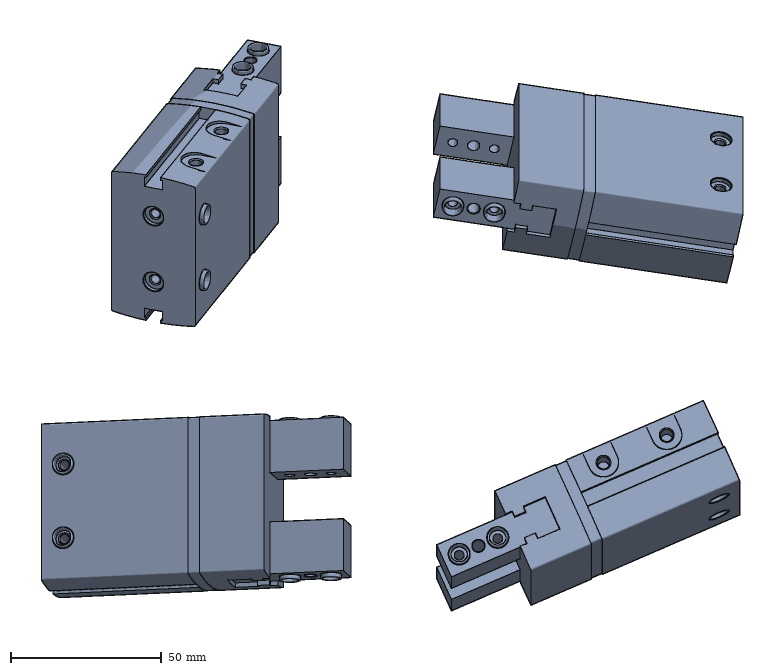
import cadquery as cq
import math


width = 30.0
height = 55.5
crown_radius = 90.9
edge_radius = 0.7
housing_length = 76.0
waist_start = 50.0
waist_end = 53.9
waist_inset = 0.3
waist_crown_inset = 0.1

total_length = 101.0
jaw_width = 12.0
jaw_neck_width = 8.0
jaw_neck_length = 4.0
jaw_foot_length = 8.0
jaw_shoulder_length = 2.4
jaw_outer_z = 26.1
jaw_inner_z = 8.4
jaw_foot_y = housing_length - jaw_shoulder_length - jaw_neck_length - jaw_foot_length
jaw_dowel_diameter = 4.0
jaw_dowel_from_tip = 12.5
jaw_screw_spacing = 14.0
jaw_dowel_y = total_length - jaw_dowel_from_tip
jaw_screw_ys = [jaw_dowel_y - jaw_screw_spacing / 2, jaw_dowel_y + jaw_screw_spacing / 2]

sleeve_diameter = 7.0
sleeve_bore = 5.6
sleeve_protrusion = 1.3
sleeve_seat_depth = 1.6
rim_chamfer = 0.2
screw_diameter = 3.2
thread_diameter = 4.0
thread_chamfer = (thread_diameter - screw_diameter) / 2

mount_z = 12.5
side_mount_y = 7.5

slot_opening = 5.3
slot_width = 6.5
slot_depth = 4.5
slot_lip = 1.1

port_x = 9.0
port_ys = [16.0, 39.0]
port_flat_radius = 5.0
port_flat_z = 26.7
port_diameter = 4.1
port_chamfer = 0.4
port_depth = 8.1


def crowned_block(block_width, block_height, start_y, end_y):
    """Block between two Y positions with flat sides and crowned top and bottom faces."""
    half_width = block_width / 2
    crown_z = block_height / 2
    crown_drop = crown_radius - math.sqrt(crown_radius**2 - half_width**2)
    half_side = crown_z - crown_drop
    return (
        cq.Workplane("XZ", origin=(0, start_y, 0))
        .moveTo(-half_width, -half_side)
        .lineTo(-half_width, half_side)
        .threePointArc((0, crown_z), (half_width, half_side))
        .lineTo(half_width, -half_side)
        .threePointArc((0, -crown_z), (-half_width, -half_side))
        .close()
        .extrude(start_y - end_y)
        .edges("|Y")
        .fillet(edge_radius)
    )


def cylinder(diameter, length, start, direction):
    """Cylinder that runs from the start point along the direction."""
    return cq.Workplane(cq.Solid.makeCylinder(diameter / 2, length, cq.Vector(start), cq.Vector(direction)))


def countersink(diameter, chamfer, start, direction):
    """Cone that breaks the rim of a hole of the given diameter."""
    radius = diameter / 2
    cone = cq.Solid.makeCone(radius + chamfer, radius, chamfer, cq.Vector(start), cq.Vector(direction))
    return cq.Workplane(cone)


def along(start, direction, distance):
    """Point at a distance from the start point along an axis direction."""
    return tuple(s + d * distance for s, d in zip(start, direction))


def sleeve_seat(start, direction):
    """Shallow counterbore for a sleeve, with a broken rim."""
    counterbore = cylinder(sleeve_diameter, sleeve_seat_depth, start, direction)
    return counterbore.union(countersink(sleeve_diameter, rim_chamfer, start, direction))


def threaded_mount(start, direction, depth):
    """Sleeve seat with a chamfered screw hole behind it."""
    seat_floor = along(start, direction, sleeve_seat_depth)
    return (
        sleeve_seat(start, direction)
        .union(cylinder(screw_diameter, depth, start, direction))
        .union(countersink(screw_diameter, thread_chamfer, seat_floor, direction))
    )


def sensor_slot():
    """T-slot in the top face, from the rear face to the waist."""
    top_z = height / 2
    opening = cq.Workplane("XY").box(slot_opening, waist_start, slot_depth, centered=(True, False, False))
    wide_height = slot_depth - slot_lip
    wide_part = cq.Workplane("XY").box(slot_width, waist_start, wide_height, centered=(True, False, False))
    return opening.union(wide_part).translate((0, 0, top_z - slot_depth))


def air_port(y):
    """Round-ended flat open toward +X, with a chamfered blind hole."""
    cut_height = height / 2 - port_flat_z
    flat = (
        cq.Workplane("XY", origin=(port_x, y, port_flat_z))
        .moveTo(width / 2 - port_x, -port_flat_radius)
        .lineTo(0, -port_flat_radius)
        .threePointArc((-port_flat_radius, 0), (0, port_flat_radius))
        .lineTo(width / 2 - port_x, port_flat_radius)
        .close()
        .extrude(cut_height)
    )
    floor_point = (port_x, y, port_flat_z)
    down = (0, 0, -1)
    return (
        flat.union(cylinder(port_diameter, port_depth, floor_point, down))
        .union(countersink(port_diameter, port_chamfer, floor_point, down))
    )


def jaw_plan(bottom_z, top_z):
    """Jaw outline in plan, with the notched neck that keys into the housing, as a block in Z."""
    half = jaw_width / 2
    neck_half = jaw_neck_width / 2
    neck_start = jaw_foot_y + jaw_foot_length
    neck_end = neck_start + jaw_neck_length
    right_side = [
        (half, jaw_foot_y),
        (half, neck_start),
        (neck_half, neck_start),
        (neck_half, neck_end),
        (half, neck_end),
        (half, total_length),
    ]
    left_side = [(-x, y) for x, y in reversed(right_side)]
    outline = cq.Workplane("XY", origin=(0, 0, bottom_z)).polyline(right_side + left_side).close()
    return outline.extrude(top_z - bottom_z)


def make_housing():
    body = crowned_block(width, height, 0, waist_start)
    waist = crowned_block(width - 2 * waist_inset, height - 2 * waist_crown_inset, waist_start, waist_end)
    head = crowned_block(width, height, waist_end, housing_length)
    housing = body.union(waist).union(head)
    housing = housing.cut(jaw_plan(jaw_inner_z, height / 2)).cut(jaw_plan(-height / 2, -jaw_inner_z))
    housing = housing.cut(sensor_slot()).cut(sensor_slot().mirror("XY"))
    for y in port_ys:
        housing = housing.cut(air_port(y))
    for z in (-mount_z, mount_z):
        housing = housing.cut(threaded_mount((0, 0, z), (0, 1, 0), side_mount_y))
        housing = housing.cut(threaded_mount((-width / 2, side_mount_y, z), (1, 0, 0), width))
        housing = housing.cut(threaded_mount((width / 2, side_mount_y, z), (-1, 0, 0), width))
    return housing


def make_jaw(side):
    """Jaw on the +Z (side = 1) or -Z (side = -1) half, with its outer face away from the centre."""
    inward = (0, 0, -side)
    thickness = jaw_outer_z - jaw_inner_z
    jaw = jaw_plan(min(side * jaw_inner_z, side * jaw_outer_z), max(side * jaw_inner_z, side * jaw_outer_z))
    dowel_point = (0, jaw_dowel_y, side * jaw_outer_z)
    jaw = jaw.cut(cylinder(jaw_dowel_diameter, thickness, dowel_point, inward))
    jaw = jaw.cut(countersink(jaw_dowel_diameter, rim_chamfer, dowel_point, inward))
    for y in jaw_screw_ys:
        face_point = (0, y, side * jaw_outer_z)
        jaw = jaw.cut(sleeve_seat(face_point, inward))
        jaw = jaw.cut(cylinder(screw_diameter, thickness, face_point, inward))
    return jaw


def make_sleeve(face_point, outward):
    """Centring sleeve seated in the face at the given point, with a fully rounded outer end."""
    outer_radius = sleeve_diameter / 2
    bore_radius = sleeve_bore / 2
    round_radius = (outer_radius - bore_radius) / 2
    round_start = sleeve_protrusion - round_radius
    ring = (
        cq.Workplane("XZ")
        .moveTo(bore_radius, -sleeve_seat_depth)
        .lineTo(outer_radius, -sleeve_seat_depth)
        .lineTo(outer_radius, round_start)
        .threePointArc((bore_radius + round_radius, sleeve_protrusion), (bore_radius, round_start))
        .close()
        .revolve(360, (0, 0), (0, 1))
    )
    seat_plane = cq.Plane(origin=face_point, normal=outward)
    return cq.Workplane(ring.val().moved(cq.Location(seat_plane)))


housing = make_housing()
jaws = [make_jaw(side) for side in (1, -1)]
jaw_sleeves = [make_sleeve((0, y, side * jaw_outer_z), (0, 0, side)) for side in (1, -1) for y in jaw_screw_ys]
side_sleeves = [make_sleeve((width / 2, side_mount_y, z), (1, 0, 0)) for z in (-mount_z, mount_z)]

bodies = [housing, *jaws, *jaw_sleeves, *side_sleeves]
result = cq.Compound.makeCompound([body.val() for body in bodies])